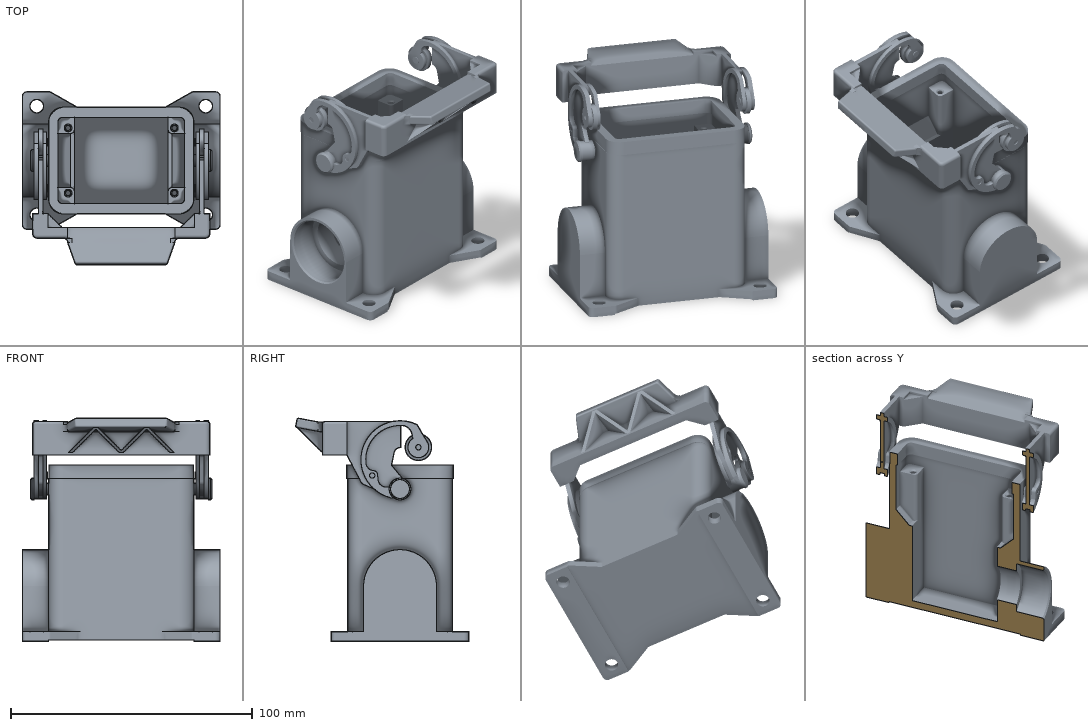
import cadquery as cq
import math

OVERALL_Y, OVERALL_Z = 71.7, 92.42

PLATE_X, PLATE_Y, PLATE_T = 82.0, 57.0, 4.0
PLATE_CORNER_R = 2.0
LUG_EDGE_R = 1.6
LUG_TIP_X = 29.5
LUG_ROOT_X = 17.6
SCREW_HOLE_R = 2.75
SCREW_HOLE_X, SCREW_HOLE_Y = 35.0, 22.5
RELIEF = 0.5

BODY_X, BODY_Y = 60.2, 43.5
BODY_CORNER_R = 6.0
BODY_TOP = 73.1
RIM_X, RIM_Y, RIM_H = 60.0, 44.2, 5.7
RIM_Z = BODY_TOP - RIM_H

CAVITY_X, CAVITY_Y = 53.8, 37.2
MOUTH_X, MOUTH_Y = 52.4, 35.8
CAVITY_CORNER_R = 2.0
WELL_X = 38.9
FLOOR_Z = 4.0
LEDGE_Z = 40.0
LEDGE_W = 1.5
POST_TOP = 62.2
POST_INNER_Y = 11.2
POST_HOLE_R, POST_HOLE_RIM_R, POST_HOLE_DEPTH = 1.1, 1.6, 12.0
POST_HOLE_X, POST_HOLE_Y = 22.0, 13.5

ENTRY_R, ENTRY_Z = 15.1, 22.9
BORE_R, BORE_Z, BORE_DEPTH = 13.6, 22.6, 12.6
BORE_CHAMFER = 0.6
PASSAGE_R = 10.9

LEVER_Y, LEVER_Z = 0.0, 75.2
ARM_R, ARM_INNER_R = 16.2, 14.2
ARM_X0, ARM_X1 = 30.9, 36.2
WEB_X0, WEB_X1 = 32.5, 34.3
WEB_TOP = 91.1
ROLLER_Y, ROLLER_Z = 7.6, 80.4
ROLLER_R, ROLLER_CHEEK_R = 5.5, 4.3
PIVOT_Z = 63.1
PIVOT_R, PIVOT_HEAD_R = 2.4, 4.5
PIVOT_HEAD_T, PIVOT_HEAD_CHAMFER = 1.4, 0.6
PIVOT_BOSS_R = 4.1
RIVET_Y, RIVET_Z = -11.5, 68.7
RIVET_R, RIVET_DIMPLE_R, RIVET_STEP = 1.5, 1.1, 0.3

BAR_X = 73.4
BAR_FRONT, BAR_INNER, BAR_BACK = -32.2, -27.7, -22.0
BAR_BOTTOM, BAR_TOP = 77.1, 91.1
BAR_FILLET, BAR_TOP_FILLET = 1.9, 1.2
BAR_ARM_X = 30.4
GUSSET_X, GUSSET_TOP = 24.5, 90.0

GRIP_NECK_X, GRIP_TIP_X = 22.2, 18.9
GRIP_T = 3.9
GRIP_TILT = math.radians(10.5)
GRIP_FILLET = 0.7
FILLET_LOSS = GRIP_FILLET * (math.sin(GRIP_TILT) + math.cos(GRIP_TILT) - 1)
GRIP_TIP_Y = PLATE_Y / 2 - OVERALL_Y - FILLET_LOSS
GRIP_TOP = OVERALL_Z + FILLET_LOSS
GRIP_CORNER_R, GRIP_ROOT_R = 1.5, 1.8
RIB_PITCH_X = 10.5
RIB_T = 1.2
RIB_FOOT_Z = 78.2
RIB_PEAK_Z = RIB_FOOT_Z + RIB_PITCH_X


def box(x0, x1, y0, y1, z0, z1):
    return cq.Workplane("XY").box(x1 - x0, y1 - y0, z1 - z0, centered=False).translate((x0, y0, z0))


def block(x, y, z0, z1):
    return box(-x / 2, x / 2, -y / 2, y / 2, z0, z1)


def yz_plane(x):
    return cq.Workplane("YZ", origin=(x, 0, 0))


def disc(y, z, r, x0, x1):
    """A cylinder along X from x0 to x1."""
    return yz_plane(x0).center(y, z).circle(r).extrude(x1 - x0)


def on_both_sides(shape):
    return shape.union(shape.mirror("YZ"))


def base_plate():
    plate = block(PLATE_X, PLATE_Y, 0, PLATE_T).edges("|Z").fillet(PLATE_CORNER_R)
    for side in (-1, 1):
        gap = [
            (-LUG_TIP_X, side * PLATE_Y / 2),
            (-LUG_ROOT_X, side * BODY_Y / 2),
            (LUG_ROOT_X, side * BODY_Y / 2),
            (LUG_TIP_X, side * PLATE_Y / 2),
        ]
        plate = plate.cut(cq.Workplane("XY").polyline(gap).close().extrude(PLATE_T))
    reach = LUG_TIP_X + LUG_EDGE_R
    inner_edges = cq.selectors.BoxSelector((-reach, -PLATE_Y, 0), (reach, PLATE_Y, PLATE_T))
    return plate.edges(inner_edges).edges("|Z").fillet(LUG_EDGE_R)


def body_shell():
    body = block(BODY_X, BODY_Y, 0, RIM_Z).edges("|Z").fillet(BODY_CORNER_R)
    rim = block(RIM_X, RIM_Y, RIM_Z, BODY_TOP).edges("|Z").fillet(BODY_CORNER_R)
    return body.union(rim)


def cable_entry():
    entry = disc(0, ENTRY_Z, ENTRY_R, -PLATE_X / 2, PLATE_X / 2)
    return entry.union(block(PLATE_X, 2 * ENTRY_R, 0, ENTRY_Z))


def cavity():
    """Mouth inside the rim, wider chamber with side walls sloping to a ledge, and a narrow well."""
    mouth = block(MOUTH_X, MOUTH_Y, RIM_Z, BODY_TOP).edges("|Z").fillet(CAVITY_CORNER_R)
    chamber = block(CAVITY_X, CAVITY_Y, LEDGE_Z, RIM_Z).edges("|Z").fillet(CAVITY_CORNER_R)
    slope_x = WELL_X / 2 + LEDGE_W
    slope_h = CAVITY_X / 2 - slope_x
    slope = [
        (slope_x, LEDGE_Z),
        (CAVITY_X / 2, LEDGE_Z),
        (CAVITY_X / 2, LEDGE_Z + slope_h),
    ]
    wedge = cq.Workplane("XZ").polyline(slope).close().extrude(CAVITY_Y / 2, both=True)
    chamber = chamber.cut(on_both_sides(wedge))
    well = block(WELL_X, CAVITY_Y, FLOOR_Z, LEDGE_Z)
    return chamber.union(mouth).union(well)


def posts():
    """Four drilled screw posts in the corners of the chamber."""
    corner = box(WELL_X / 2, CAVITY_X / 2, POST_INNER_Y, CAVITY_Y / 2, LEDGE_Z, POST_TOP)
    drill = cq.Workplane("XY", origin=(POST_HOLE_X, POST_HOLE_Y, POST_TOP))
    corner = corner.cut(drill.circle(POST_HOLE_R).extrude(-POST_HOLE_DEPTH))
    corner = corner.edges("%CIRCLE and >Z").chamfer(POST_HOLE_RIM_R - POST_HOLE_R)
    corner = corner.edges("|Z and >X and >Y").fillet(CAVITY_CORNER_R)
    corner = corner.edges("|Z and <X and <Y").fillet(LEDGE_W)
    pair = on_both_sides(corner)
    return pair.union(pair.mirror("XZ"))


def entry_bore():
    """Stepped opening through the -X entry into the well."""
    face_x = -PLATE_X / 2
    bore = disc(0, BORE_Z, BORE_R, face_x, face_x + BORE_DEPTH)
    mouth = yz_plane(face_x).center(0, BORE_Z).circle(BORE_R + BORE_CHAMFER).extrude(BORE_CHAMFER, taper=45)
    return bore.union(mouth).union(disc(0, BORE_Z, PASSAGE_R, face_x, -WELL_X / 2))


def housing():
    shell = body_shell().union(base_plate()).union(cable_entry())
    shell = shell.cut(cavity()).union(posts()).cut(entry_bore())
    shell = shell.cut(block(BODY_X, PLATE_Y, 0, RELIEF))
    for x in (-SCREW_HOLE_X, SCREW_HOLE_X):
        for y in (-SCREW_HOLE_Y, SCREW_HOLE_Y):
            shell = shell.cut(cq.Workplane("XY").center(x, y).circle(SCREW_HOLE_R).extrude(PLATE_T))
    return shell


def on_arm(radius, degrees):
    angle = math.radians(degrees)
    return (LEVER_Y + radius * math.cos(angle), LEVER_Z + radius * math.sin(angle))


def hooked_arm():
    """Pair of C-shaped arms from the roller over the top and down to the pivot.

    The outline runs down the outer arc, back around a bulge at the rivet, up the inner arc,
    and through the throat of the hook to the roller.
    """
    arm = (
        yz_plane(ARM_X0)
        .moveTo(*on_arm(ARM_R, 64))
        .threePointArc(on_arm(ARM_R, 160), on_arm(ARM_R, 256))
        .lineTo(0, PIVOT_Z - PIVOT_BOSS_R)
        .lineTo(0, PIVOT_Z)
        .lineTo(-4.7, 63.9)
        .threePointArc((-7.4, 64.4), (-9.0, 66.2))
        .lineTo(-9.3, 69.0)
        .threePointArc((-9.9, 70.3), (-11.0, 70.7))
        .threePointArc((-12.9, 71.5), on_arm(ARM_INNER_R, 186))
        .threePointArc(on_arm(ARM_INNER_R, 137), on_arm(ARM_INNER_R, 88))
        .threePointArc((4.0, 87.8), (5.0, 84.8))
        .lineTo(ROLLER_Y, ROLLER_Z)
        .lineTo(11.3, 82.5)
        .close()
        .extrude(ARM_X1 - ARM_X0)
    )
    arm = arm.cut(disc(LEVER_Y, LEVER_Z, 2 * ARM_R, WEB_X0, WEB_X1))
    arm = arm.union(disc(ROLLER_Y, ROLLER_Z, ROLLER_CHEEK_R, ARM_X0, ARM_X1))
    return arm.union(disc(ROLLER_Y, ROLLER_Z, ROLLER_R, WEB_X0, WEB_X1))


def lever_web():
    """Flat plate between the bar and the pivot, notched on its rear edge."""
    return (
        yz_plane(WEB_X0)
        .moveTo(0.3, WEB_TOP)
        .lineTo(BAR_BACK, WEB_TOP)
        .lineTo(BAR_BACK, BAR_BOTTOM)
        .lineTo(-16.4, 66.5)
        .threePointArc((-15.8, 65.5), (-14.9, 64.9))
        .lineTo(-10.5, 63.0)
        .lineTo(0, PIVOT_Z - PIVOT_BOSS_R)
        .lineTo(1.3, 67.2)
        .lineTo(-3.5, 72.9)
        .lineTo(-2.4, 78.2)
        .threePointArc((-1.5, 79.7), (0.3, 80.2))
        .close()
        .extrude(WEB_X1 - WEB_X0)
    )


def rivet(y, z):
    """A rivet and the dimple in its outer end."""
    pin = disc(y, z, RIVET_R, ARM_X0 - RIVET_STEP, ARM_X1)
    return pin, disc(y, z, RIVET_DIMPLE_R, ARM_X1 - RIVET_STEP, ARM_X1)


def pivot():
    boss = disc(0, PIVOT_Z, PIVOT_BOSS_R, ARM_X0, ARM_X1)
    pin = disc(0, PIVOT_Z, PIVOT_R, CAVITY_X / 2, ARM_X1)
    head = disc(0, PIVOT_Z, PIVOT_HEAD_R, ARM_X1, ARM_X1 + PIVOT_HEAD_T)
    return boss.union(pin).union(head.faces(">X").chamfer(PIVOT_HEAD_CHAMFER))


def lever_side():
    side = hooked_arm().union(lever_web()).union(pivot())
    for y, z in ((RIVET_Y, RIVET_Z), (ROLLER_Y, ROLLER_Z)):
        pin, dimple = rivet(y, z)
        side = side.union(pin).cut(dimple)
    return side


def handle_bar():
    half = BAR_X / 2
    bar = box(-half, half, BAR_FRONT, BAR_BACK, BAR_BOTTOM, BAR_TOP)
    bar = bar.edges("|Z and <Y").fillet(BAR_FILLET)
    bar = bar.faces(">Z").edges("not >Y").fillet(BAR_TOP_FILLET)
    bar = bar.cut(box(-BAR_ARM_X, BAR_ARM_X, BAR_INNER, BAR_BACK, BAR_BOTTOM, BAR_TOP))
    corner = [(BAR_ARM_X, BAR_BACK), (GUSSET_X, BAR_INNER), (BAR_ARM_X, BAR_INNER)]
    gusset = cq.Workplane("XY", origin=(0, 0, BAR_BOTTOM)).polyline(corner).close()
    return bar.union(on_both_sides(gusset.extrude(GUSSET_TOP - BAR_BOTTOM)))


def grip_slope(y):
    """Height of the grip's sloping top face at y, as if it ran on without end."""
    return GRIP_TOP - (y - GRIP_TIP_Y - GRIP_T * math.sin(GRIP_TILT)) * math.tan(GRIP_TILT)


def grip():
    """Tilted tab that narrows toward its tip and starts at the bar's inner face."""
    tip_top_y = GRIP_TIP_Y + GRIP_T * math.sin(GRIP_TILT)
    drop = GRIP_T / math.cos(GRIP_TILT)
    side = [
        (tip_top_y, GRIP_TOP),
        (GRIP_TIP_Y, GRIP_TOP - GRIP_T * math.cos(GRIP_TILT)),
        (BAR_INNER, grip_slope(BAR_INNER) - drop),
        (BAR_INNER, grip_slope(BAR_INNER)),
    ]
    slab = yz_plane(-GRIP_NECK_X).polyline(side).close().extrude(2 * GRIP_NECK_X)
    neck_y = BAR_FRONT - GRIP_ROOT_R
    plan = (
        cq.Workplane("XY", origin=(0, 0, BAR_BOTTOM))
        .moveTo(-GRIP_NECK_X, BAR_INNER)
        .lineTo(-GRIP_NECK_X, neck_y)
        .lineTo(-GRIP_TIP_X, GRIP_TIP_Y)
        .lineTo(GRIP_TIP_X, GRIP_TIP_Y)
        .lineTo(GRIP_NECK_X, neck_y)
        .lineTo(GRIP_NECK_X, BAR_INNER)
        .close()
        .extrude(GRIP_TOP)
        .edges("|Z and <Y")
        .fillet(GRIP_CORNER_R)
    )
    tab = slab.intersect(plan)
    return tab.edges("(not >Y) and (not |Z)").fillet(GRIP_FILLET)


def grip_roots():
    """Concave rounds where the sides of the grip meet the front of the bar."""
    height = GRIP_T / math.cos(GRIP_TILT)
    bottom = grip_slope(BAR_FRONT - GRIP_ROOT_R) - height
    root = (
        cq.Workplane("XY", origin=(0, 0, bottom))
        .moveTo(GRIP_NECK_X - GRIP_ROOT_R, BAR_FRONT)
        .lineTo(GRIP_NECK_X + GRIP_ROOT_R, BAR_FRONT)
        .radiusArc((GRIP_NECK_X, BAR_FRONT - GRIP_ROOT_R), -GRIP_ROOT_R)
        .lineTo(GRIP_NECK_X - GRIP_ROOT_R, BAR_FRONT - GRIP_ROOT_R)
        .close()
        .extrude(height)
    )
    return on_both_sides(root)


def grip_notch():
    """Space above the grip's sloping top where it runs into the bar."""
    front_y = BAR_FRONT - GRIP_ROOT_R
    profile = [
        (front_y, grip_slope(front_y)),
        (BAR_INNER, grip_slope(BAR_INNER)),
        (BAR_INNER, GRIP_TOP),
        (front_y, GRIP_TOP),
    ]
    return yz_plane(-GRIP_NECK_X).polyline(profile).close().extrude(2 * GRIP_NECK_X)


def grip_ribs():
    """Four thin ribs in a zigzag between the bar and the grip, tapering toward the tip."""
    length = BAR_FRONT - GRIP_TIP_Y
    slope_y = BAR_FRONT - (RIB_PEAK_Z - RIB_FOOT_Z)
    half_width = RIB_T / math.sqrt(2)
    zigzag = None
    for foot in (-2, 0, 2):
        for lean in (-1, 1):
            if abs(foot + lean) > 1:
                continue
            x0 = foot * RIB_PITCH_X
            x1 = x0 + lean * RIB_PITCH_X
            strip = [
                (x0 - half_width, RIB_FOOT_Z),
                (x0 + half_width, RIB_FOOT_Z),
                (x1 + half_width, RIB_PEAK_Z),
                (x1 - half_width, RIB_PEAK_Z),
            ]
            rib = cq.Workplane("XZ", origin=(0, BAR_FRONT, 0)).polyline(strip).close().extrude(length)
            zigzag = rib if zigzag is None else zigzag.union(rib)
    taper = [(BAR_FRONT, RIB_FOOT_Z), (BAR_FRONT, RIB_PEAK_Z), (slope_y, RIB_PEAK_Z)]
    wedge = yz_plane(-BAR_X / 2).polyline(taper).close().extrude(BAR_X)
    return zigzag.intersect(wedge)


bar_with_grip = handle_bar().cut(grip_notch()).union(grip()).union(grip_roots()).union(grip_ribs())
lever = on_both_sides(lever_side()).union(bar_with_grip)
result = housing().union(lever)